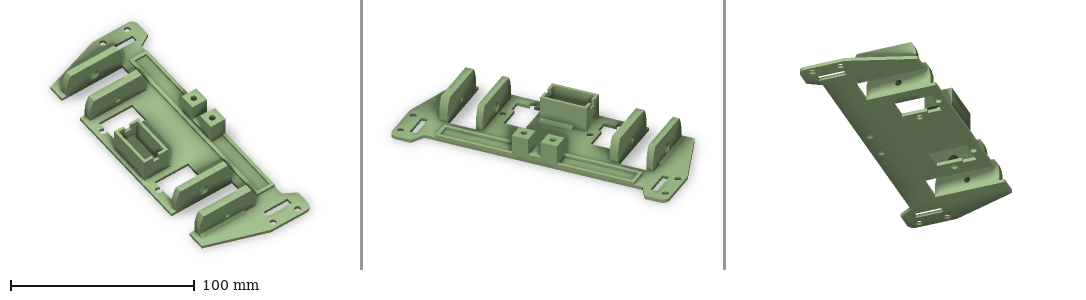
import cadquery as cq


WIDTH = 166.0
DEPTH = 65.0
PLATE = 2.0
BACK_EDGE = 57.3
EAR_TOP = 13.1
EAR_FOOT = 17.8
EAR_RADIUS = 4.0
TAPER_START = 37.4
TAPER_END = 12.6

EAR_HOLE_D = 3.8
EAR_HOLE_X = 3.8
EAR_HOLE_YS = (41.5, 58.0)
STRAP_X = 11.0
STRAP_Y = 49.6
STRAP_WIDTH = 4.0
STRAP_LENGTH = 16.1

BAY_X = 23.0
BAY_PITCH = 102.0
BAY_WIDTH = 17.0
BAY_DEPTH = 40.7
LEFT_WALL = 4.0
RIGHT_WALL = 5.0
WALL_FRONT = 3.2
WALL_TOP = 16.6
AXLE_Y = (WALL_FRONT + BAY_DEPTH) / 2
AXLE_Z = 6.8
AXLE_D = 3.7
BEARING_D = 6.1
FOOT_LENGTH = 29.9
FOOT_WIDTH = 1.8
FOOT_HEIGHT = 1.5

MID_X = BAY_X + (BAY_PITCH + BAY_WIDTH) / 2

RAIL_WIDTH = 12.1
RAIL_HEIGHT = 1.5
RAIL_BORDER = 2.0
RAIL_LENGTH = BAY_PITCH + BAY_WIDTH

POST_PITCH = 17.3
POST_SIZE = 9.8
POST_TOP = 15.0
BRIDGE_TOP = 5.0
POST_HOLE_D = 3.8
POST_HOLE_Y = 52.0
POST_XS = (MID_X - POST_PITCH / 2, MID_X + POST_PITCH / 2)

SERVO_X = 49.0
SERVO_PITCH = 52.0
SERVO_WIDTH = 13.1
SERVO_FRONT = 6.1
SERVO_BACK = 28.5
NOTCH_WIDTH = 2.0
NOTCH_BACK = 14.0
KEYHOLE_D = 4.0
KEYHOLE_X = 6.1
KEYHOLE_Y = 4.5
SERVO_HOLE_D = 3.8
SERVO_HOLE_X = 17.3
SERVO_HOLE_Y = 20.0

TRAY_LENGTH = 27.9
TRAY_X = 69.0
TRAY_FRONT = 2.0
TRAY_WIDTH = 16.1
TRAY_TOP = 17.0
TRAY_WALL = 1.7
TRAY_BACK = TRAY_FRONT + TRAY_WIDTH
CABLE_SLOT_WIDTH = 4.0
CABLE_SLOT_DEPTH = 3.7
CABLE_SLOT_Y = 10.1
ARCH_HEIGHT = 5.3
TRAY_FOOT_LENGTH = 19.8
TRAY_FOOT_SIZE = 2.0


def block(x, y, z, length, width, height):
    """Box with its lowest corner at (x, y, z)."""
    return cq.Workplane("XY").box(length, width, height, centered=False).translate((x, y, z))


def upright_hole(x, y, diameter):
    """Vertical cutter as tall as the whole part."""
    return cq.Workplane("XY").center(x, y).circle(diameter / 2).extrude(TRAY_TOP)


def base_plate():
    plate = (
        cq.Workplane("XY")
        .polyline([
            (TAPER_END, 0),
            (WIDTH - TAPER_END, 0),
            (WIDTH, TAPER_START),
            (WIDTH, DEPTH),
            (WIDTH - EAR_TOP, DEPTH),
            (WIDTH - EAR_FOOT, BACK_EDGE),
            (EAR_FOOT, BACK_EDGE),
            (EAR_TOP, DEPTH),
            (0, DEPTH),
            (0, TAPER_START),
        ])
        .close()
        .extrude(PLATE)
    )
    for side in ("<X", ">X"):
        plate = plate.faces(side).edges("|Z and >Y").fillet(EAR_RADIUS)
    for hole_x, strap_x in ((EAR_HOLE_X, STRAP_X), (WIDTH - EAR_HOLE_X, WIDTH - STRAP_X)):
        for hole_y in EAR_HOLE_YS:
            plate = plate.cut(upright_hole(hole_x, hole_y, EAR_HOLE_D))
        plate = plate.cut(
            cq.Workplane("XY").center(strap_x, STRAP_Y).rect(STRAP_WIDTH, STRAP_LENGTH).extrude(PLATE)
        )
    return plate


def bearing_wall(x, thickness, hole_d):
    """Wall whose ends follow a circle about the axle, cut flat at the top."""
    wall = block(x, WALL_FRONT, PLATE, thickness, BAY_DEPTH - WALL_FRONT, AXLE_Z - PLATE)
    crown = (
        cq.Workplane("YZ", origin=(x, AXLE_Y, AXLE_Z))
        .circle((BAY_DEPTH - WALL_FRONT) / 2)
        .extrude(thickness)
        .intersect(block(x, WALL_FRONT, AXLE_Z, thickness, BAY_DEPTH - WALL_FRONT, WALL_TOP - AXLE_Z))
    )
    hole = cq.Workplane("YZ", origin=(x, AXLE_Y, AXLE_Z)).circle(hole_d / 2).extrude(thickness)
    return wall.union(crown).cut(hole)


def wall_foot(x, outward):
    """Sloped foot at a wall's outer face; outward is -1 to the left, +1 to the right."""
    return (
        cq.Workplane("XZ", origin=(x, WALL_FRONT, PLATE))
        .polyline([(0, 0), (outward * FOOT_WIDTH, 0), (0, FOOT_HEIGHT)])
        .close()
        .extrude(-FOOT_LENGTH)
    )


def rail():
    x = MID_X - RAIL_LENGTH / 2
    y = BACK_EDGE - RAIL_WIDTH
    frame = block(x, y, PLATE, RAIL_LENGTH, RAIL_WIDTH, RAIL_HEIGHT)
    inside = block(
        x + RAIL_BORDER, y + RAIL_BORDER, PLATE,
        RAIL_LENGTH - 2 * RAIL_BORDER, RAIL_WIDTH - 2 * RAIL_BORDER, RAIL_HEIGHT,
    )
    return frame.cut(inside)


def screw_posts():
    """Two square posts joined by a low bridge."""
    y = BACK_EDGE - POST_SIZE
    posts = block(POST_XS[0], y, PLATE, POST_PITCH, POST_SIZE, BRIDGE_TOP - PLATE)
    for post_x in POST_XS:
        posts = posts.union(
            block(post_x - POST_SIZE / 2, y, PLATE, POST_SIZE, POST_SIZE, POST_TOP - PLATE)
        )
    return posts


def servo_opening(x):
    opening = block(x, SERVO_FRONT, 0, SERVO_WIDTH, SERVO_BACK - SERVO_FRONT, PLATE)
    notch = block(x, SERVO_FRONT, 0, SERVO_WIDTH + NOTCH_WIDTH, NOTCH_BACK - SERVO_FRONT, PLATE)
    keyhole = upright_hole(x + KEYHOLE_X, KEYHOLE_Y, KEYHOLE_D)
    screw_hole = upright_hole(x + SERVO_HOLE_X, SERVO_HOLE_Y, SERVO_HOLE_D)
    return opening.union(notch).union(keyhole).union(screw_hole)


def tray():
    inner_y = TRAY_FRONT + TRAY_WALL
    inner_width = TRAY_WIDTH - 2 * TRAY_WALL
    shell = block(TRAY_X, TRAY_FRONT, PLATE, TRAY_LENGTH, TRAY_WIDTH, TRAY_TOP - PLATE)
    cavity = block(
        TRAY_X + TRAY_WALL, inner_y, PLATE,
        TRAY_LENGTH - 2 * TRAY_WALL, inner_width, TRAY_TOP - PLATE,
    )
    cable_slot = block(
        TRAY_X, CABLE_SLOT_Y - CABLE_SLOT_WIDTH / 2, TRAY_TOP - CABLE_SLOT_DEPTH,
        TRAY_LENGTH, CABLE_SLOT_WIDTH, CABLE_SLOT_DEPTH,
    )
    arch = block(TRAY_X, inner_y, PLATE, TRAY_WALL, inner_width, ARCH_HEIGHT)
    foot = (
        cq.Workplane("YZ", origin=(TRAY_X + TRAY_LENGTH - TRAY_FOOT_LENGTH, TRAY_BACK, PLATE))
        .polyline([(0, 0), (TRAY_FOOT_SIZE, 0), (0, TRAY_FOOT_SIZE)])
        .close()
        .extrude(TRAY_FOOT_LENGTH)
    )
    return shell.cut(cavity).cut(cable_slot).cut(arch).union(foot)


result = base_plate()

for bay_x in (BAY_X, BAY_X + BAY_PITCH):
    result = result.cut(block(bay_x, 0, 0, BAY_WIDTH, BAY_DEPTH, PLATE))
    result = result.union(bearing_wall(bay_x - LEFT_WALL, LEFT_WALL, BEARING_D))
    result = result.union(bearing_wall(bay_x + BAY_WIDTH, RIGHT_WALL, AXLE_D))

result = result.union(wall_foot(BAY_X - LEFT_WALL, -1))
result = result.union(wall_foot(BAY_X + BAY_PITCH + BAY_WIDTH + RIGHT_WALL, 1))

result = result.union(rail())
result = result.union(screw_posts())
for post_x in POST_XS:
    result = result.cut(upright_hole(post_x, POST_HOLE_Y, POST_HOLE_D))

for servo_x in (SERVO_X, SERVO_X + SERVO_PITCH):
    result = result.cut(servo_opening(servo_x))

result = result.union(tray())